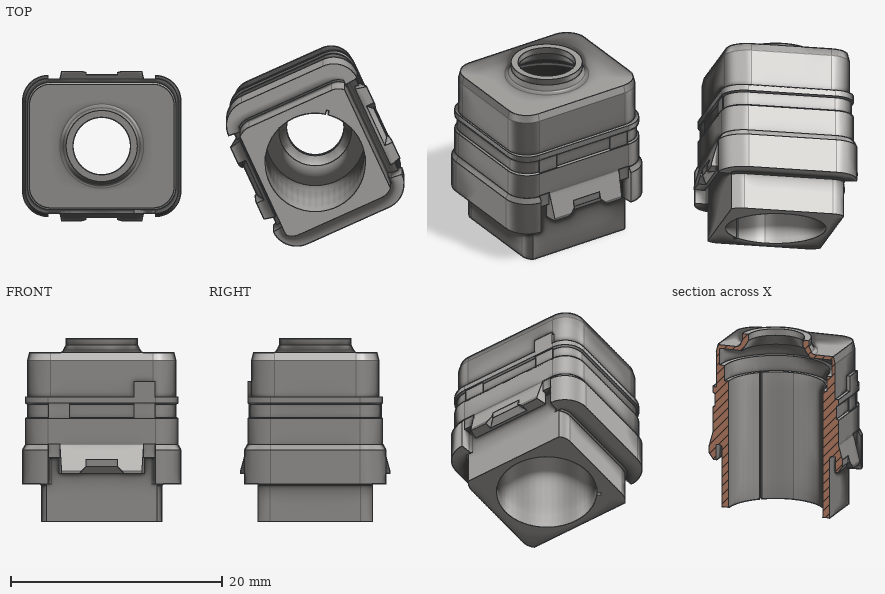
import cadquery as cq

SKIRT_BOTTOM = 3.58
SKIRT_SHOULDER = 6.79
BODY_BOTTOM = 7.3
GROOVE_BOTTOM = 9.75
GROOVE_TOP = 11.22
BAND_TOP = 11.8
CAP_SHOULDER = 15.27
CAP_TOP = 16.0
NECK_TOP = 17.33

SKIRT_HALF = (7.5, 6.69)
BODY_HALF = (7.22, 6.37)
CAP_HALF = (7.02, 6.03)
CAP_TOP_INSET = 0.18
PLUG_HALF_X = 5.7
PLUG_HALF_Y = 5.44
PLUG_ROUND_HALF_Y = 5.9
CORNER_RADIUS = 2.15
SKIRT_CORNER_RADIUS = 2.45
PLUG_CORNER_RADIUS = 1.6
PLUG_FLARE = 0.16
GROOVE_DEPTH = 0.2
GROOVE_BEVEL_HEIGHT = 0.12

PAD_INNER_X = 3.03
PAD_OUTER_X = 5.02
PAD_FACE_Y = 6.25
TAB_TOP = 13.27

WINDOW_OUTER_HALF_X = 5.1
WINDOW_INNER_HALF_X = 4.98
WINDOW_TOP = 6.08
WINDOW_FILLET = 0.25
RELIEF_TOP = 7.35
RELIEF_FACE_Y = 6.32

HOOK_BOTTOM = 4.57
HOOK_LIP_TOP = 4.79
HOOK_TIP_Y = 7.075
HOOK_BACK_Y = 6.0
HOOK_BACK_HALF_X = 4.04
HOOK_TIP_HALF_X = 3.8
NOTCH_HALF_X = 1.49
NOTCH_MOUTH_HALF_X = 2.1
NOTCH_TOP = 5.9
NOTCH_KNEE = 5.22
NOTCH_FLOOR_Y = 6.76
NOTCH_MOUTH_Y = 6.3

NECK_RADIUS = 3.37
NECK_STRAIGHT_BOTTOM = 16.73
NECK_CONE_RADIUS = 3.63
NECK_CONE_BOTTOM = 16.24
NECK_FOOT_RADIUS = 3.98
NECK_ARC_MID = (3.76, 16.07)
NECK_BORE_RADIUS = 2.71
NECK_BORE_BOTTOM = 16.7
THROAT_RADIUS = 3.45
CAVITY_TOP = 15.6
CAVITY_RADIUS = 5.65
CAVITY_FLOOR = 14.0
SEAT_RADIUS = 5.15
SEAT_FLOOR = 12.5
MAIN_BORE_RADIUS = 4.75
KEYWAY_WIDTH = 0.25
KEYWAY_ANGLE = 38

OUTSIDE = 10.0


def block(half, bottom, top, radius):
    """Upright rounded block with the given half lengths."""
    base = cq.Workplane("XY").workplane(offset=bottom)
    return base.rect(2 * half[0], 2 * half[1]).extrude(top - bottom).edges("|Z").fillet(radius)


def box(x_range, y_range, z_range):
    """Plain box between the given coordinate pairs."""
    size = [high - low for low, high in (x_range, y_range, z_range)]
    return cq.Workplane("XY").box(*size, centered=False).translate((x_range[0], y_range[0], z_range[0]))


def beveled_block(half, bottom, top, radius, height, inset):
    """Rounded block whose top edge is beveled."""
    return block(half, bottom, top, radius).faces(">Z").chamfer(height, inset)


def both_sides(shape):
    """The shape on the -Y side together with its mirror image on +Y."""
    return shape.union(shape.mirror("XZ"))


def plug():
    """Lower plug: rounded corners cut by flat -Y and +Y faces, flared into the skirt."""
    half = (PLUG_HALF_X, PLUG_ROUND_HALF_Y)
    solid = block(half, 0, WINDOW_TOP, PLUG_CORNER_RADIUS)
    flare_half = (PLUG_HALF_X + PLUG_FLARE, PLUG_ROUND_HALF_Y + PLUG_FLARE)
    flare = block(flare_half, SKIRT_BOTTOM - PLUG_FLARE, WINDOW_TOP, PLUG_CORNER_RADIUS + PLUG_FLARE)
    solid = solid.union(flare.faces("<Z").chamfer(PLUG_FLARE))
    flats = box((-OUTSIDE, OUTSIDE), (-PLUG_HALF_Y, PLUG_HALF_Y), (0, WINDOW_TOP))
    return solid.intersect(flats)


def groove_core():
    """Floor of the groove, sloping out to the body outline at its top and bottom."""
    floor_half = [side - GROOVE_DEPTH for side in BODY_HALF]
    core = block(floor_half, GROOVE_BOTTOM, GROOVE_TOP, CORNER_RADIUS - GROOVE_DEPTH)
    slope_top = GROOVE_BOTTOM + GROOVE_BEVEL_HEIGHT
    lower = beveled_block(
        BODY_HALF, BODY_BOTTOM, slope_top, CORNER_RADIUS,
        GROOVE_BEVEL_HEIGHT, GROOVE_DEPTH,
    )
    upper = lower.mirror("XY", (0, 0, (GROOVE_BOTTOM + GROOVE_TOP) / 2))
    height = (GROOVE_BOTTOM, GROOVE_TOP)
    span = (-OUTSIDE, OUTSIDE)
    return core.union(lower).union(upper.intersect(box(span, span, height)))


def stack():
    """Outer body from the skirt up to the cap."""
    skirt = beveled_block(
        SKIRT_HALF, SKIRT_BOTTOM, BODY_BOTTOM, SKIRT_CORNER_RADIUS,
        BODY_BOTTOM - SKIRT_SHOULDER, SKIRT_HALF[0] - BODY_HALF[0],
    )
    body = block(BODY_HALF, SKIRT_BOTTOM, GROOVE_BOTTOM, CORNER_RADIUS)
    band = block(BODY_HALF, GROOVE_TOP, BAND_TOP, CORNER_RADIUS)
    cap = beveled_block(
        CAP_HALF, BAND_TOP, CAP_TOP, CORNER_RADIUS,
        CAP_TOP - CAP_SHOULDER, CAP_TOP_INSET,
    )
    return plug().union(skirt).union(body).union(groove_core()).union(band).union(cap)


def pad_pair(front_y, back_y):
    """Pair of boxes, one at each end of the groove, between two depths."""
    right = box((PAD_INNER_X, PAD_OUTER_X), (front_y, back_y), (GROOVE_BOTTOM, GROOVE_TOP))
    return right.union(right.mirror("YZ"))


def tab():
    """Tab rising from the band against the -Y face of the cap."""
    return box((PAD_INNER_X, PAD_OUTER_X), (-BODY_HALF[1], -CAVITY_RADIUS), (BAND_TOP, TAB_TOP))


def wedge(back, front, bottom, top):
    """Upright block tapering in plan; back and front are (half width, depth towards -Y)."""
    plan = [(-back[0], -back[1]), (back[0], -back[1]), (front[0], -front[1]), (-front[0], -front[1])]
    return cq.Workplane("XY").workplane(offset=bottom).polyline(plan).close().extrude(top - bottom)


def window():
    """Cutter for one clip window with its shallow relief above."""
    back = (WINDOW_INNER_HALF_X, PLUG_HALF_Y)
    front = (WINDOW_OUTER_HALF_X, SKIRT_HALF[1])
    opening = wedge(back, front, 0, WINDOW_TOP)
    opening = opening.faces(">Y").edges("|Z or >Z").fillet(WINDOW_FILLET)
    in_front_of_relief = box((-OUTSIDE, OUTSIDE), (-OUTSIDE, -RELIEF_FACE_Y), (0, RELIEF_TOP))
    relief = wedge(back, front, 0, RELIEF_TOP).intersect(in_front_of_relief)
    return opening.union(relief)


def hook():
    """Ramped latch hanging from the body on the -Y side, with a notch in its lower edge."""
    ramp = (
        cq.Workplane("YZ")
        .polyline([
            (-HOOK_BACK_Y, HOOK_BOTTOM),
            (-HOOK_TIP_Y, HOOK_BOTTOM),
            (-HOOK_TIP_Y, HOOK_LIP_TOP),
            (-BODY_HALF[1], BODY_BOTTOM),
            (-BODY_HALF[1], RELIEF_TOP),
            (-HOOK_BACK_Y, RELIEF_TOP),
        ])
        .close()
        .extrude(OUTSIDE, both=True)
    )
    plan = wedge(
        (HOOK_BACK_HALF_X, HOOK_BACK_Y), (HOOK_TIP_HALF_X, HOOK_TIP_Y), HOOK_BOTTOM, RELIEF_TOP,
    )
    notch_front = (
        cq.Workplane("XZ")
        .polyline([
            (-NOTCH_MOUTH_HALF_X, HOOK_BOTTOM),
            (-NOTCH_HALF_X, NOTCH_KNEE),
            (-NOTCH_HALF_X, NOTCH_TOP),
            (NOTCH_HALF_X, NOTCH_TOP),
            (NOTCH_HALF_X, NOTCH_KNEE),
            (NOTCH_MOUTH_HALF_X, HOOK_BOTTOM),
        ])
        .close()
        .extrude(OUTSIDE)
    )
    notch_side = (
        cq.Workplane("YZ")
        .polyline([
            (-OUTSIDE, HOOK_BOTTOM),
            (-NOTCH_MOUTH_Y, HOOK_BOTTOM),
            (-NOTCH_FLOOR_Y, NOTCH_KNEE),
            (-NOTCH_FLOOR_Y, NOTCH_TOP),
            (-OUTSIDE, NOTCH_TOP),
        ])
        .close()
        .extrude(OUTSIDE, both=True)
    )
    return ramp.intersect(plan).cut(notch_front.intersect(notch_side))


def neck():
    """Round neck with a conical flare and a curved foot."""
    profile = (
        cq.Workplane("XZ")
        .moveTo(0, CAVITY_TOP)
        .lineTo(NECK_FOOT_RADIUS, CAVITY_TOP)
        .lineTo(NECK_FOOT_RADIUS, CAP_TOP)
        .threePointArc(NECK_ARC_MID, (NECK_CONE_RADIUS, NECK_CONE_BOTTOM))
        .lineTo(NECK_RADIUS, NECK_STRAIGHT_BOTTOM)
        .lineTo(NECK_RADIUS, NECK_TOP)
        .lineTo(0, NECK_TOP)
        .close()
    )
    return profile.revolve(360, (0, 0, 0), (0, 1, 0))


def bore():
    """Stepped bore through the whole part, with a keyway in its lowest step."""
    profile = (
        cq.Workplane("XZ")
        .polyline([
            (0, 0),
            (MAIN_BORE_RADIUS, 0),
            (MAIN_BORE_RADIUS, SEAT_FLOOR),
            (SEAT_RADIUS, SEAT_FLOOR),
            (SEAT_RADIUS, CAVITY_FLOOR),
            (CAVITY_RADIUS, CAVITY_FLOOR),
            (CAVITY_RADIUS, CAVITY_TOP),
            (THROAT_RADIUS, CAVITY_TOP),
            (NECK_BORE_RADIUS, NECK_BORE_BOTTOM),
            (NECK_BORE_RADIUS, NECK_TOP),
            (0, NECK_TOP),
        ])
        .close()
    )
    keyway = box((0, SEAT_RADIUS), (-KEYWAY_WIDTH / 2, KEYWAY_WIDTH / 2), (0, SEAT_FLOOR))
    keyway = keyway.rotate((0, 0, 0), (0, 0, 1), KEYWAY_ANGLE)
    return profile.revolve(360, (0, 0, 0), (0, 1, 0)).union(keyway)


result = stack().union(tab())
result = result.cut(both_sides(pad_pair(-OUTSIDE, -PAD_FACE_Y)))
result = result.union(both_sides(pad_pair(-PAD_FACE_Y, -CAVITY_RADIUS)))
result = result.cut(both_sides(window())).union(both_sides(hook()))
result = result.union(neck()).cut(bore())